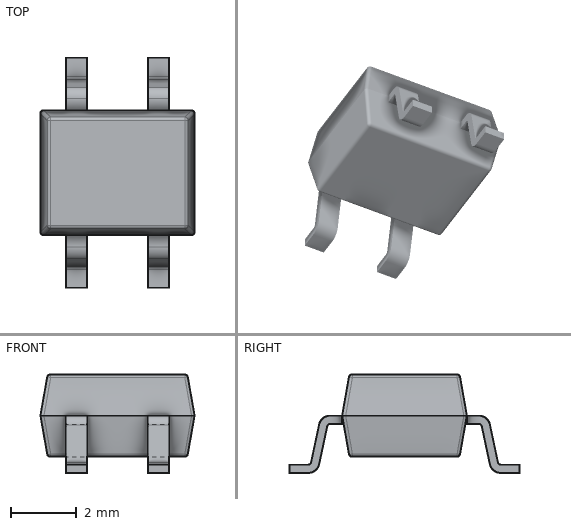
import cadquery as cq
import math

OVERALL_LENGTH = 7.0
OVERALL_HEIGHT = 3.0

PACKAGE_WIDTH = 4.7
PACKAGE_DEPTH = 3.8
PACKAGE_HEIGHT = 2.505
PACKAGE_DRAFT = 10.0
PACKAGE_ROUND = 0.105

LEAD_WIDTH = 0.65
LEAD_THICKNESS = 0.26
LEAD_PITCH = 2.49
LEAD_INNER_RADIUS = 0.09
LEAD_LEAN = 12.0
FOOT_LENGTH = 0.57

HALF_HEIGHT = PACKAGE_HEIGHT / 2
PARTING_Z = OVERALL_HEIGHT - HALF_HEIGHT
LEAD_ROOT_Y = PACKAGE_DEPTH / 2
LEAD_TIP_Y = OVERALL_LENGTH / 2
LEAD_OUTER_RADIUS = LEAD_INNER_RADIUS + LEAD_THICKNESS


def make_package():
    """Moulded package: two equal drafted halves meeting at the parting line."""
    upper_half = (
        cq.Workplane("XY")
        .rect(PACKAGE_WIDTH, PACKAGE_DEPTH)
        .extrude(HALF_HEIGHT, taper=PACKAGE_DRAFT)
        .edges("not <Z")
        .fillet(PACKAGE_ROUND)
    )
    lower_half = upper_half.mirror("XY")
    return upper_half.union(lower_half).translate((0, 0, PARTING_Z))


def bend_point(centre, radius, degrees):
    """Point on a bend, at an angle measured from outward (+Y) towards up (+Z)."""
    angle = math.radians(degrees)
    return (centre[0] + radius * math.cos(angle), centre[1] + radius * math.sin(angle))


def make_lead(x, side):
    """Gull-wing lead centred at x, reaching out to side +1 (+Y) or -1 (-Y).

    The root butts against the widest line of the package, top face level with
    the parting line; a shoulder bend, a sloping leg and a foot bend follow.
    """
    lean = math.radians(LEAD_LEAN)
    shoulder_z = PARTING_Z - LEAD_OUTER_RADIUS
    foot_z = LEAD_OUTER_RADIUS
    foot_y = LEAD_TIP_Y - FOOT_LENGTH

    radius_sum = LEAD_OUTER_RADIUS + LEAD_INNER_RADIUS
    leg_length = (shoulder_z - foot_z + radius_sum * math.sin(lean)) / math.cos(lean)
    shoulder_y = foot_y - radius_sum * math.cos(lean) - leg_length * math.sin(lean)

    shoulder = (shoulder_y, shoulder_z)
    foot = (foot_y, foot_z)
    shoulder_middle = (90 + LEAD_LEAN) / 2
    foot_start = 180 + LEAD_LEAN
    foot_middle = (foot_start + 270) / 2

    profile = (
        cq.Workplane("YZ")
        .moveTo(LEAD_ROOT_Y, PARTING_Z)
        .lineTo(shoulder_y, PARTING_Z)
        .threePointArc(
            bend_point(shoulder, LEAD_OUTER_RADIUS, shoulder_middle),
            bend_point(shoulder, LEAD_OUTER_RADIUS, LEAD_LEAN),
        )
        .lineTo(*bend_point(foot, LEAD_INNER_RADIUS, foot_start))
        .threePointArc(
            bend_point(foot, LEAD_INNER_RADIUS, foot_middle),
            (foot_y, LEAD_THICKNESS),
        )
        .lineTo(LEAD_TIP_Y, LEAD_THICKNESS)
        .lineTo(LEAD_TIP_Y, 0)
        .lineTo(foot_y, 0)
        .threePointArc(
            bend_point(foot, LEAD_OUTER_RADIUS, foot_middle),
            bend_point(foot, LEAD_OUTER_RADIUS, foot_start),
        )
        .lineTo(*bend_point(shoulder, LEAD_INNER_RADIUS, LEAD_LEAN))
        .threePointArc(
            bend_point(shoulder, LEAD_INNER_RADIUS, shoulder_middle),
            (shoulder_y, PARTING_Z - LEAD_THICKNESS),
        )
        .lineTo(LEAD_ROOT_Y, PARTING_Z - LEAD_THICKNESS)
        .close()
    )
    lead = profile.extrude(LEAD_WIDTH / 2, both=True)
    if side < 0:
        lead = lead.rotate((0, 0, 0), (0, 0, 1), 180)
    return lead.translate((x, 0, 0))


package = make_package()
leads = []
for side in (-1, 1):
    for x in (-LEAD_PITCH / 2, LEAD_PITCH / 2):
        leads.append(make_lead(x, side))

result = cq.Compound.makeCompound([package.val(), *[lead.val() for lead in leads]])